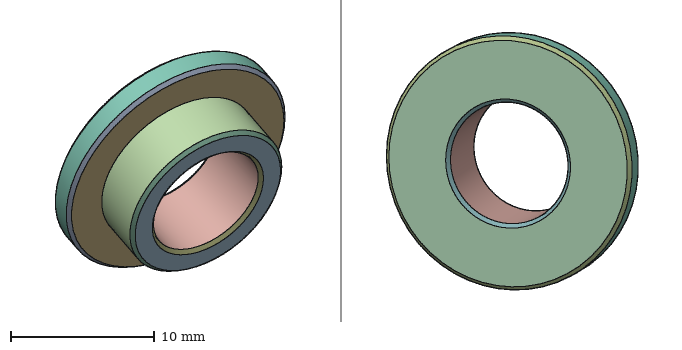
import cadquery as cq

flange_diameter = 18.0
flange_thickness = 2.0
body_diameter = 12.5
total_length = 6.0
bore_diameter = 8.6
edge_chamfer = 0.27


def chamfered_cylinder(diameter, length):
    """Cylinder along +X from the origin plane with both rims chamfered."""
    cylinder = cq.Workplane("YZ").circle(diameter / 2).extrude(length)
    return cylinder.edges("%CIRCLE").chamfer(edge_chamfer)


def bore_cutter():
    """Through bore that widens into a chamfer at each end."""
    bore_radius = bore_diameter / 2
    mouth_radius = bore_radius + edge_chamfer
    return (
        cq.Workplane("XY")
        .moveTo(0, 0)
        .lineTo(0, mouth_radius)
        .lineTo(edge_chamfer, bore_radius)
        .lineTo(total_length - edge_chamfer, bore_radius)
        .lineTo(total_length, mouth_radius)
        .lineTo(total_length, 0)
        .close()
        .revolve(360, (0, 0, 0), (1, 0, 0))
    )


flange = chamfered_cylinder(flange_diameter, flange_thickness)
body = chamfered_cylinder(body_diameter, total_length)
result = flange.union(body).cut(bore_cutter())